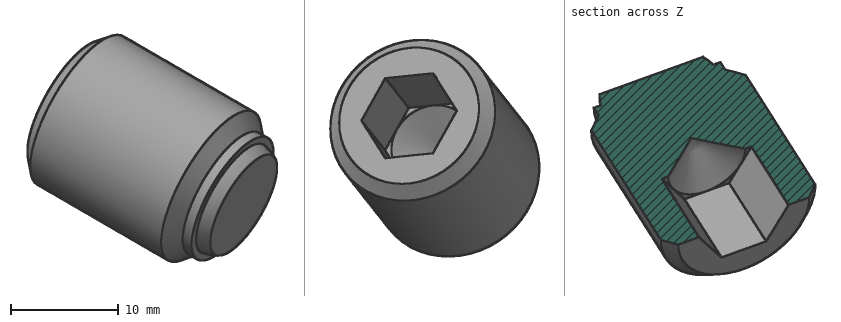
import cadquery as cq
import math

total_length = 20.0
body_diameter = 16.0
socket_end_chamfer = 1.22

shoulder_start = 16.25
collar_radius = 6.55
collar_end = 18.72

ball_radius = 6.0
flat_radius = 5.35

socket_across_flats = 8.0
socket_depth = 8.0
drill_point_angle = 100.0

body_radius = body_diameter / 2
shoulder_length = body_radius - collar_radius
ball_center = total_length - math.sqrt(ball_radius**2 - flat_radius**2)
seat_radius = math.sqrt(ball_radius**2 - (collar_end - ball_center) ** 2)
mid_tip = (collar_end + total_length) / 2
mid_tip_radius = math.sqrt(ball_radius**2 - (mid_tip - ball_center) ** 2)


def screw_body():
    """Body, shoulder, collar and ball tip as one revolved half profile."""
    half_profile = (
        cq.Workplane("XY")
        .moveTo(0, 0)
        .lineTo(0, body_radius - socket_end_chamfer)
        .lineTo(socket_end_chamfer, body_radius)
        .lineTo(shoulder_start, body_radius)
        .lineTo(shoulder_start + shoulder_length, collar_radius)
        .lineTo(collar_end, collar_radius)
        .lineTo(collar_end, seat_radius)
        .threePointArc((mid_tip, mid_tip_radius), (total_length, flat_radius))
        .lineTo(total_length, 0)
        .close()
    )
    return half_profile.revolve(360, (0, 0, 0), (1, 0, 0))


def hexagon_socket():
    """Hexagonal hole with two corners on the Y axis and a conical bottom."""
    across_corners = socket_across_flats / math.cos(math.radians(30))
    hexagon = cq.Workplane("YZ").polygon(6, across_corners).extrude(socket_depth)

    drill_radius = socket_across_flats / 2
    point_depth = drill_radius / math.tan(math.radians(drill_point_angle / 2))
    drill_point = cq.Workplane(
        cq.Solid.makeCone(
            drill_radius, 0, point_depth, cq.Vector(socket_depth, 0, 0), cq.Vector(1, 0, 0)
        )
    )
    return hexagon.union(drill_point)


result = screw_body().cut(hexagon_socket())